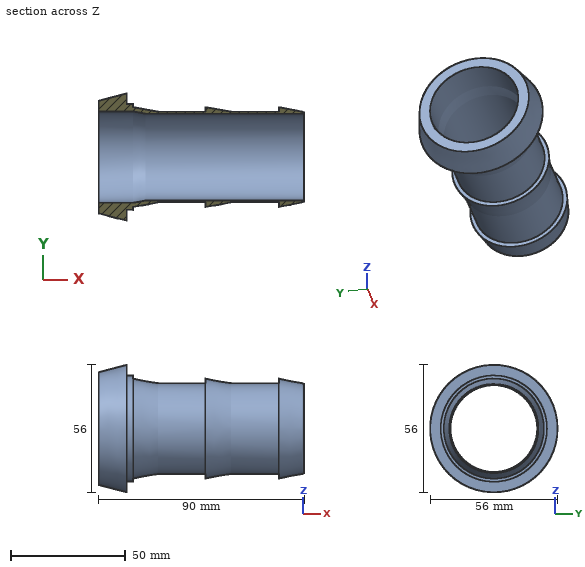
import cadquery as cq

length = 90.0

collar_length = 12.3
collar_face_radius = 24.75
collar_radius = 28.0
shoulder_end = 15.1
shoulder_radius = 23.3

tube_radius = 20.0
barb_radius = 22.0
root_cone_end = 26.0
middle_barb_start = 46.8
middle_barb_length = 11.2
end_barb_start = 78.9
tip_chamfer_length = 0.8
tip_chamfer_depth = tip_chamfer_length / 2

entry_bore_radius = tube_radius
tube_bore_radius = 19.0
bore_taper_start = shoulder_end
bore_taper_end = 20.5

outer_profile = [
    (0, collar_face_radius),
    (collar_length, collar_radius),
    (collar_length, shoulder_radius),
    (shoulder_end, shoulder_radius),
    (shoulder_end, barb_radius),
    (root_cone_end, tube_radius),
    (middle_barb_start, tube_radius),
    (middle_barb_start, barb_radius),
    (middle_barb_start + middle_barb_length, tube_radius),
    (end_barb_start, tube_radius),
    (end_barb_start, barb_radius),
    (length - tip_chamfer_length, tube_radius),
    (length, tube_radius - tip_chamfer_depth),
]
bore_profile = [
    (length, tube_bore_radius),
    (bore_taper_end, tube_bore_radius),
    (bore_taper_start, entry_bore_radius),
    (0, entry_bore_radius),
]

result = (
    cq.Workplane("XY")
    .polyline(outer_profile + bore_profile)
    .close()
    .revolve(360, (0, 0, 0), (1, 0, 0))
)